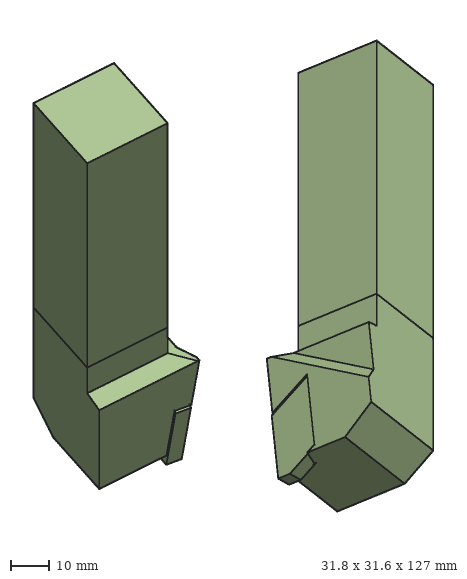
import cadquery as cq
import math

TOTAL_HEIGHT = 127.0
HEAD_WIDTH = 31.1
HEAD_DEPTH = 31.6
SHANK_SIDE = 25.4

HEAD_BOTTOM = 3.5
SHANK_BOTTOM = 46.2
SHOULDER_TOP = 36.1
SHOULDER_SLOPE = 13.0

BEVEL_WIDTH = 9.3
BEVEL_HEIGHT = 6.9

RAKE_ANGLE = 9.0

INSERT_RIGHT = 31.8
INSERT_WIDTH = 12.7
INSERT_LENGTH = 18.7
INSERT_THICKNESS = 5.0
INSERT_END_SLOPE = 30.0
INSERT_FLAT = 3.8
INSERT_RECESS = 0.5

RELIEF_DEPTH = 2.8
RELIEF_SLOPE = 30.0
RELIEF_START = 18.0
RELIEF_WALL_ANGLE = 45.0
RELIEF_REACH = 50.8


def rise(run, degrees):
    """Height gained over a run at a given slope."""
    return run * math.tan(math.radians(degrees))


RAKE_TOP = SHOULDER_TOP - rise(HEAD_DEPTH - SHANK_SIDE, SHOULDER_SLOPE)
INSERT_TIP_Y = (
    HEAD_DEPTH - rise(RAKE_TOP, RAKE_ANGLE) - INSERT_RECESS / math.cos(math.radians(RAKE_ANGLE))
)


def rake_plane(offset):
    """Plane parallel to the insert face, moved outward; local x is X and local y runs up the rake."""
    lean = math.radians(RAKE_ANGLE)
    normal = cq.Vector(0, math.cos(lean), -math.sin(lean))
    origin = cq.Vector(0, INSERT_TIP_Y, 0) + normal * offset
    return cq.Plane(origin=origin, xDir=(1, 0, 0), normal=normal * -1)


def make_shank():
    return cq.Workplane("XY").box(
        SHANK_SIDE, SHANK_SIDE, TOTAL_HEIGHT - SHANK_BOTTOM, centered=False
    ).translate((0, 0, SHANK_BOTTOM))


def insert_prism(thickness):
    """Insert outline extruded inward from the insert face."""
    left = INSERT_RIGHT - INSERT_WIDTH
    flat_left = INSERT_RIGHT - INSERT_FLAT
    end_rise = rise(INSERT_WIDTH, INSERT_END_SLOPE)
    lower_rise = rise(INSERT_WIDTH - INSERT_FLAT, INSERT_END_SLOPE)
    return (
        cq.Workplane(rake_plane(0))
        .polyline([
            (INSERT_RIGHT, 0),
            (INSERT_RIGHT, INSERT_LENGTH),
            (left, INSERT_LENGTH + end_rise),
            (left, lower_rise),
            (flat_left, 0),
        ])
        .close()
        .extrude(thickness)
    )


def head_blank():
    """Front outline and side outline, each extruded, meeting in a mitred shoulder."""
    front = (
        cq.Workplane("XZ")
        .polyline([
            (0, HEAD_BOTTOM + BEVEL_HEIGHT),
            (BEVEL_WIDTH, HEAD_BOTTOM),
            (HEAD_WIDTH, HEAD_BOTTOM),
            (HEAD_WIDTH, SHOULDER_TOP - rise(HEAD_WIDTH - SHANK_SIDE, SHOULDER_SLOPE)),
            (SHANK_SIDE, SHOULDER_TOP),
            (SHANK_SIDE, SHANK_BOTTOM),
            (0, SHANK_BOTTOM),
        ])
        .close()
        .extrude(-HEAD_DEPTH)
    )
    rake_bottom_y = HEAD_DEPTH - rise(RAKE_TOP - HEAD_BOTTOM, RAKE_ANGLE)
    side = (
        cq.Workplane("YZ")
        .polyline([
            (0, HEAD_BOTTOM),
            (rake_bottom_y, HEAD_BOTTOM),
            (HEAD_DEPTH, RAKE_TOP),
            (SHANK_SIDE, SHOULDER_TOP),
            (SHANK_SIDE, SHANK_BOTTOM),
            (0, SHANK_BOTTOM),
        ])
        .close()
        .extrude(HEAD_WIDTH)
    )
    return front.intersect(side)


def relief_cutter():
    """Bar along the relief wall: its floor is parallel to the rake face and its wall slopes outward."""
    face = rake_plane(INSERT_RECESS)
    along = face.xDir * math.cos(math.radians(RELIEF_SLOPE))
    along = along + face.yDir * math.sin(math.radians(RELIEF_SLOPE))
    across = face.zDir.cross(along)
    start = face.toWorldCoords((0, RELIEF_START)) - along * RELIEF_REACH
    section = cq.Plane(origin=start, xDir=across, normal=along)
    wall_run = rise(RELIEF_DEPTH, 90 - RELIEF_WALL_ANGLE)
    return (
        cq.Workplane(section)
        .polyline([
            (-wall_run, -RELIEF_DEPTH),
            (wall_run, RELIEF_DEPTH),
            (RELIEF_REACH, RELIEF_DEPTH),
            (RELIEF_REACH, -RELIEF_DEPTH),
        ])
        .close()
        .extrude(2 * RELIEF_REACH)
    )


def make_head():
    seat = insert_prism(INSERT_THICKNESS).union(insert_prism(-2 * INSERT_RECESS))
    return head_blank().cut(relief_cutter()).cut(seat)


shank = make_shank()
head = make_head()
insert = insert_prism(INSERT_THICKNESS)

result = cq.Compound.makeCompound([shank.val(), head.solids().val(), insert.val()])